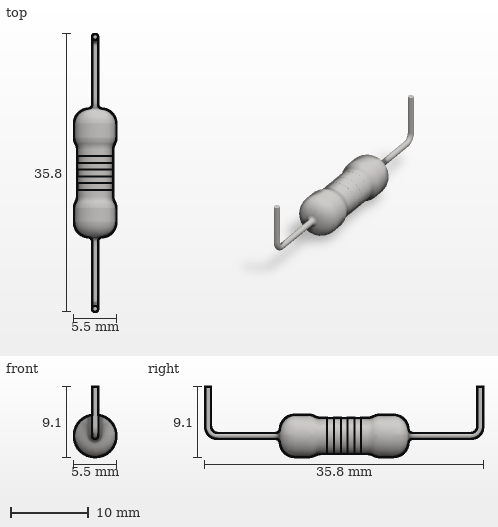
import cadquery as cq
import math


cap_radius = 5.5 / 2
sleeve_radius = 4.7 / 2
groove_radius = 4.67 / 2
wire_diameter = 0.8
lead_span = 35.8
lead_tip_height = 6.35
bend_radius = 1.2
body_length = 16.6
dome_radius = 2.0
sleeve_length = 6.1
neck_arc_radius = 1.5
collar_radius = 0.5
groove_count = 3

wire_radius = wire_diameter / 2
body_end = body_length / 2
dome_start = body_end - dome_radius
face_radius = cap_radius - dome_radius
sleeve_end = sleeve_length / 2
band_width = sleeve_length / (2 * groove_count + 1)

neck_mid_radius = (sleeve_radius + cap_radius) / 2
neck_arc_rise = neck_mid_radius - sleeve_radius
neck_angle = math.acos(1 - neck_arc_rise / neck_arc_radius)
neck_arc_length = neck_arc_radius * math.sin(neck_angle)
neck_mid = sleeve_end + neck_arc_length
neck_end = neck_mid + neck_arc_length

collar_center_radius = wire_radius + collar_radius
collar_center = dome_start + math.sqrt(
    (dome_radius + collar_radius) ** 2 - (collar_center_radius - face_radius) ** 2
)
collar_angle = math.atan2(collar_center - dome_start, collar_center_radius - face_radius)
collar_foot_radius = face_radius + dome_radius * math.cos(collar_angle)
collar_foot = dome_start + dome_radius * math.sin(collar_angle)


def arc_point(center, radius, angle):
    """Point on a circle in the (radius, Y) half plane."""
    return (center[0] + radius * math.cos(angle), center[1] + radius * math.sin(angle))


def make_half_body():
    """+Y half of the body: sleeve, neck, domed cap and wire collar, revolved about Y."""
    neck_inner_center = (sleeve_radius + neck_arc_radius, sleeve_end)
    neck_outer_center = (cap_radius - neck_arc_radius, neck_end)
    dome_center = (face_radius, dome_start)
    collar_arc_center = (collar_center_radius, collar_center)

    neck_inner = arc_point(neck_inner_center, neck_arc_radius, math.pi - neck_angle / 2)
    neck_outer = arc_point(neck_outer_center, neck_arc_radius, -neck_angle / 2)
    dome_middle = arc_point(dome_center, dome_radius, collar_angle / 2)
    collar_middle = arc_point(collar_arc_center, collar_radius, math.pi + collar_angle / 2)
    profile = (
        cq.Workplane("XY")
        .lineTo(sleeve_radius, 0)
        .lineTo(sleeve_radius, sleeve_end)
        .threePointArc(neck_inner, (neck_mid_radius, neck_mid))
        .threePointArc(neck_outer, (cap_radius, neck_end))
        .lineTo(cap_radius, dome_start)
        .threePointArc(dome_middle, (collar_foot_radius, collar_foot))
        .threePointArc(collar_middle, (wire_radius, collar_center))
        .lineTo(0, collar_center)
        .close()
    )
    return profile.revolve(360, (0, 0, 0), (0, 1, 0))


def make_groove(center):
    """Ring that cuts one shallow band into the sleeve."""
    return (
        cq.Workplane("XZ", origin=(0, center + band_width / 2, 0))
        .circle(cap_radius)
        .circle(groove_radius)
        .extrude(band_width)
    )


def make_lead():
    """Lead on the +Y side: straight out of the collar, then bent up to its tip."""
    upright = lead_span / 2 - wire_radius
    bend_start = upright - bend_radius
    diagonal = bend_radius * math.sin(math.radians(45))
    path = (
        cq.Workplane("YZ")
        .moveTo(collar_center, 0)
        .lineTo(bend_start, 0)
        .threePointArc((bend_start + diagonal, bend_radius - diagonal), (upright, bend_radius))
        .lineTo(upright, lead_tip_height)
    )
    return cq.Workplane("XZ", origin=(0, collar_center, 0)).circle(wire_radius).sweep(path)


half_body = make_half_body()
body = half_body.union(half_body.mirror("XZ"))
for index in range(groove_count):
    groove_center = 2 * band_width * (index - (groove_count - 1) / 2)
    body = body.cut(make_groove(groove_center))

lead = make_lead()
result = body.union(lead).union(lead.mirror("XZ"))